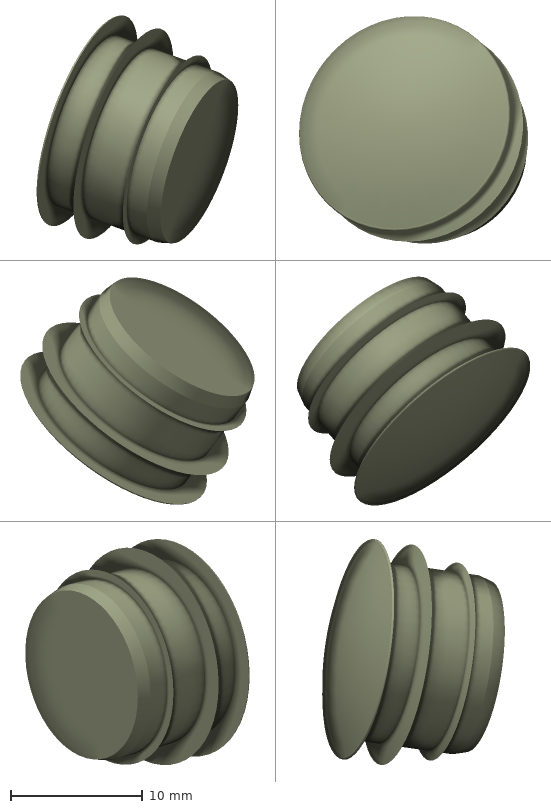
import cadquery as cq
import math

length = 11.2
head_radius = 8.5
head_back = 1.68
rim_radius = 0.17
dome_radius = 8.33
body_radius = 6.9
taper_start = 10.18
end_radius = 6.61

front_fin = (4.27, 4.71, head_radius)
rear_fin = (8.21, 8.5, 7.63)

dome_depth = head_back - rim_radius
sphere_radius = (dome_radius**2 + dome_depth**2) / (2 * dome_depth)
dome_mid_radius = dome_radius / 2
dome_mid_x = sphere_radius - math.sqrt(sphere_radius**2 - dome_mid_radius**2)

rim_offset = rim_radius * math.sqrt(0.5)


def add_fin(outline, fin):
    """Continue the body outline over one fin with a sloped front and flat back."""
    root_x, back_x, tip_radius = fin
    return (
        outline.lineTo(root_x, body_radius)
        .lineTo(back_x, tip_radius)
        .lineTo(back_x, body_radius)
    )


profile = (
    cq.Workplane("XY")
    .threePointArc((dome_mid_x, dome_mid_radius), (dome_depth, dome_radius))
    .threePointArc(
        (head_back - rim_offset, head_radius - rim_radius + rim_offset),
        (head_back, head_radius),
    )
    .lineTo(head_back, body_radius)
)
profile = add_fin(profile, front_fin)
profile = add_fin(profile, rear_fin)
profile = (
    profile.lineTo(taper_start, body_radius)
    .lineTo(length, end_radius)
    .lineTo(length, 0)
    .close()
)

result = profile.revolve(360, (0, 0, 0), (1, 0, 0))